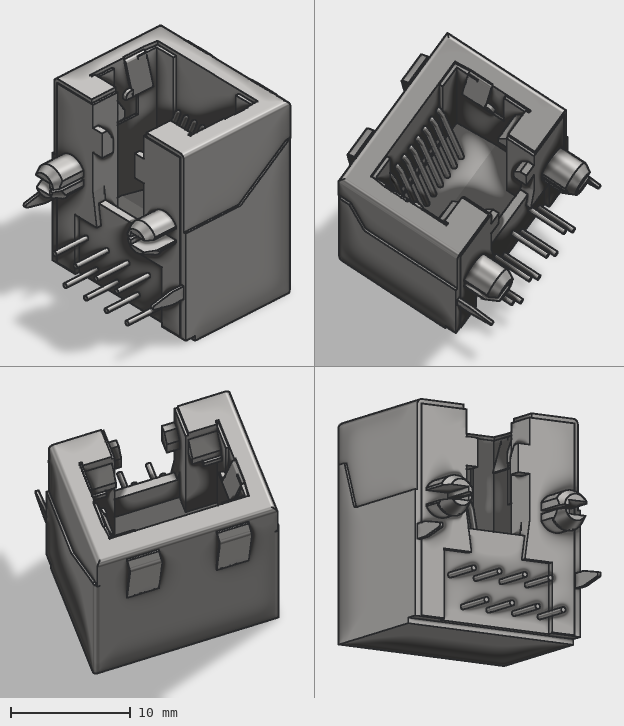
import cadquery as cq
import math


HEIGHT = 19.0
SHELL_HALF = 8.0
SHELL_BACK = 12.08
SHELL_THICK = 0.4
EDGE_RADIUS = 0.48
WRAP_HALF = 8.23
WRAP_TOP = 15.31
WRAP_LOW = 11.25
KNEE_RADIUS = 0.38
RIGHT_SLOPE = (11.6, 6.21)
LEFT_SLOPE = (10.81, 9.31)
FLOOR_PLATE_Z = 0.48
FLOOR_PLATE_FRONT = 1.06

INSERT_HALF = 7.6
INSERT_BOTTOM = 0.55
INSERT_TOP = HEIGHT - SHELL_THICK
INSERT_FRONT = -0.08

CAVITY_HALF = 5.93
CAVITY_FRONT = 2.72
CAVITY_BACK = 9.69
CAVITY_FLOOR = 5.51
FLOOR_BEND_Y = 5.72
FLOOR_BACK_Z = 4.65
MOUTH_HALF = 6.18
MOUTH_BACK = 10.03
MOUTH_NOTCH_FRONT = 2.38
SPRING_NOTCH_HALF = 6.29
COMB_HALF = 3.85

SLOT_HALF = 3.14
SHIELD_SLOT_HALF = 3.38
SLOT_TAPER_Z = 9.85
SLOT_LOW_HALF = 2.66
PANEL_HALF = 5.38
PANEL_RECESS_TOP = 6.5
PANEL_TOP = 8.59
PANEL_FRONT = 0.42
PANEL_BACK = 1.2

TAB_INNER = 2.01
TAB_BOTTOM = 13.81
TAB_TOP = 16.28
TAB_TOP_DEPTH = 0.55
TAB_SLOPE_DROP = 1.05
CATCH_TOP = 17.86
CATCH_KNEE = 16.28
CATCH_BOTTOM = 15.39
CATCH_BACK = 3.75
FOOT_INNER = 4.3
FOOT_BACK = 3.97
FOOT_TOP = 15.39
FOOT_BOTTOM = 14.82

SPRING_FRONT = 6.27
SPRING_BACK = 8.59
SPRING_TIP_X = 5.1
SPRING_THICK = 0.23
SPRING_BOTTOM = 15.58
SPRING_TOP = 18.72
HOOK_FRONT = 5.47
HOOK_TOP = 16.28
HOOK_WIDTH = 0.42
HOOK_RADIUS = 0.57
WINDOW_FRONT = 4.92
WINDOW_BACK = 7.6
WINDOW_BOTTOM = 12.8

CONTACT_COUNT = 8
CONTACT_PITCH = 1.0
CONTACT_RADIUS = 0.25
CONTACT_TIP = (9.92, 13.11)
CONTACT_BEND = (9.5, 12.45)
CONTACT_FOOT = (7.45, 4.56)

PIN_RADIUS = 0.23
PIN_PITCH = 2.55
PIN_END = -3.2
PIN_COUNT = 4
PIN_UPPER_Z = 4.4
PIN_LOWER_Z = 1.85
PIN_FIRST_X = 1.75 * PIN_PITCH

PEG_X = 5.72
PEG_Z = 10.65
PEG_END = -3.27
PEG_HALF_WIDTH = 1.42
PEG_RADIUS = 1.63
PEG_TIP_RADIUS = 1.18
PEG_CONE_START = -2.45
BARB_RADIUS = 1.73
BARB_TIP_RADIUS = 1.08
BARB_START = -1.85
BARB_SHANK_RADIUS = 1.62
PEG_WIDE_GAP = 1.2
PEG_NARROW_GAP = 0.3
PEG_GAP_STEP = 0.72

TAIL_THICK = 0.28
TAIL_OUTER = 8.0
TAIL_HALF = 0.65
TAIL_TAPER_Y = -1.3
TAIL_END = -3.48
TAIL_TIP_RADIUS = 0.2
TAIL_LEFT_Z = 7.68
TAIL_RIGHT_Z = 5.2
BACK_SPRING_X = (-3.97, 3.97)
BACK_SPRING_WIDTH = 2.83
BACK_SPRING_THICK = 0.19
BACK_SPRING_CREST = (12.98, 17.7)
BACK_SPRING_ROOT = (12.25, 18.47)
BACK_SPRING_BEND = (12.75, 18.13)
BACK_SPRING_TOP = 18.49
BACK_SPRING_BOTTOM = 11.97


def block(x0, x1, y0, y1, z0, z1):
    return cq.Workplane("XY").box(x1 - x0, y1 - y0, z1 - z0, centered=False).translate((x0, y0, z0))


def both_sides(solid):
    return solid.union(solid.mirror("YZ"))


def side_prism(points, x0, x1):
    """Extrude a closed (Y, Z) outline from x0 to x1."""
    return cq.Workplane("YZ").workplane(offset=x0).polyline(points).close().extrude(x1 - x0)


def front_prism(points, y0, y1):
    """Extrude a closed (X, Z) outline from y0 to y1."""
    return cq.Workplane("XZ").workplane(offset=-y1).polyline(points).close().extrude(y1 - y0)


def rod_y(x, z, radius, y0, y1):
    return cq.Workplane("XZ", origin=(x, y1, z)).circle(radius).extrude(y1 - y0)


def cone_y(x, z, base_radius, tip_radius, y_base, y_tip):
    """Truncated cone narrowing toward -Y."""
    cone = cq.Solid.makeCone(
        base_radius, tip_radius, y_base - y_tip, cq.Vector(x, y_base, z), cq.Vector(0, -1, 0)
    )
    return cq.Workplane(obj=cone)


def wrap_side(slope_top_y, slope_low_y):
    """Outline of the +X half of the lower wrap, with its sloping upper edge."""
    outline = [
        (0, 0), (SHELL_BACK, 0), (SHELL_BACK, WRAP_TOP), (slope_top_y, WRAP_TOP),
        (slope_low_y, WRAP_LOW), (0, WRAP_LOW),
    ]
    half = side_prism(outline, 0, WRAP_HALF)
    half = half.edges("|X and <Z and >Y").fillet(EDGE_RADIUS)
    knee = cq.selectors.NearestToPointSelector((WRAP_HALF / 2, slope_low_y, WRAP_LOW))
    half = half.edges(knee).fillet(KNEE_RADIUS)
    rounded_corner = block(0, WRAP_HALF, 0, SHELL_BACK, 0, WRAP_TOP)
    rounded_corner = rounded_corner.edges("|Z and >X and >Y").fillet(EDGE_RADIUS)
    return half.intersect(rounded_corner)


def make_body():
    shell = block(-SHELL_HALF, SHELL_HALF, 0, SHELL_BACK, WRAP_TOP, HEIGHT)
    shell = shell.faces(">Z").edges(">Y or >X or <X").fillet(EDGE_RADIUS)
    shell_sides = block(-SHELL_HALF, SHELL_HALF, 0, SHELL_BACK - EDGE_RADIUS, WRAP_LOW, WRAP_TOP)
    right_wrap = wrap_side(*RIGHT_SLOPE)
    left_wrap = wrap_side(*LEFT_SLOPE).mirror("YZ")
    insert = block(-INSERT_HALF, INSERT_HALF, INSERT_FRONT, CAVITY_BACK, INSERT_BOTTOM, INSERT_TOP)
    floor_notch = block(-WRAP_HALF, WRAP_HALF, 0, FLOOR_PLATE_FRONT, 0, FLOOR_PLATE_Z)
    return shell.union(shell_sides).union(right_wrap).union(left_wrap).union(insert).cut(floor_notch)


def cut_cavity(body):
    cavity_side = [
        (CAVITY_FRONT, HEIGHT), (CAVITY_FRONT, CAVITY_FLOOR), (FLOOR_BEND_Y, CAVITY_FLOOR),
        (CAVITY_BACK, FLOOR_BACK_Z), (CAVITY_BACK, HEIGHT),
    ]
    body = body.cut(side_prism(cavity_side, -CAVITY_HALF, CAVITY_HALF))
    body = body.cut(block(-COMB_HALF, COMB_HALF, CAVITY_BACK, MOUTH_BACK, CAVITY_FLOOR, HEIGHT))
    mouth = block(-MOUTH_HALF, MOUTH_HALF, CAVITY_FRONT, MOUTH_BACK, INSERT_TOP, HEIGHT)
    mouth = mouth.union(both_sides(
        block(CAVITY_HALF, MOUTH_HALF, MOUTH_NOTCH_FRONT, CAVITY_FRONT, INSERT_TOP, HEIGHT)
    ))
    spring_notch = [
        (CAVITY_HALF, SPRING_FRONT), (SPRING_NOTCH_HALF, SPRING_FRONT),
        (SPRING_NOTCH_HALF, SPRING_BACK), (MOUTH_HALF, CAVITY_BACK), (CAVITY_HALF, CAVITY_BACK),
    ]
    notch = cq.Workplane("XY").workplane(offset=INSERT_TOP).polyline(spring_notch).close()
    mouth = mouth.union(both_sides(notch.extrude(SHELL_THICK)))
    window = block(CAVITY_HALF, MOUTH_HALF, WINDOW_FRONT, WINDOW_BACK, WINDOW_BOTTOM, HEIGHT)
    return body.cut(mouth).cut(both_sides(window))


def cut_front_slot(body):
    channel = block(-SLOT_HALF, SLOT_HALF, PANEL_BACK, CAVITY_FRONT, CAVITY_FLOOR, HEIGHT)
    right_edge = [(SLOT_HALF, HEIGHT), (SLOT_HALF, SLOT_TAPER_Z), (SLOT_LOW_HALF, PANEL_RECESS_TOP)]
    left_edge = [(-x, z) for x, z in reversed(right_edge)]
    slot = front_prism(right_edge + left_edge, INSERT_FRONT, PANEL_BACK)
    shield_slot = block(
        -SHIELD_SLOT_HALF, SHIELD_SLOT_HALF, INSERT_FRONT, CAVITY_FRONT, INSERT_TOP, HEIGHT
    )
    recess = block(
        -PANEL_HALF, PANEL_HALF, INSERT_FRONT, PANEL_FRONT, FLOOR_PLATE_Z, PANEL_RECESS_TOP
    )
    panel = block(-SLOT_HALF, SLOT_HALF, PANEL_FRONT, PANEL_BACK, CAVITY_FLOOR, PANEL_TOP)
    return body.cut(channel).cut(slot).cut(shield_slot).cut(recess).union(panel)


def make_latch_tabs():
    outline = [
        (INSERT_FRONT, TAB_BOTTOM), (PANEL_BACK, TAB_BOTTOM), (PANEL_BACK, TAB_TOP - TAB_SLOPE_DROP),
        (TAB_TOP_DEPTH, TAB_TOP), (INSERT_FRONT, TAB_TOP),
    ]
    return both_sides(side_prism(outline, TAB_INNER, SLOT_HALF))


def make_catches():
    outline = [
        (CAVITY_FRONT, CATCH_BOTTOM), (CATCH_BACK, CATCH_BOTTOM), (CATCH_BACK, CATCH_KNEE),
        (CAVITY_FRONT, CATCH_TOP),
    ]
    catch = side_prism(outline, SHIELD_SLOT_HALF, CAVITY_HALF)
    foot = block(FOOT_INNER, CAVITY_HALF, CAVITY_FRONT, FOOT_BACK, FOOT_BOTTOM, FOOT_TOP)
    return both_sides(catch.union(foot))


def make_side_springs():
    """Blades folded over the mouth's side edges, each with a hook at its lower front corner."""
    fold_radius = SPRING_NOTCH_HALF - CAVITY_HALF
    plate = (
        cq.Workplane("XZ", origin=(0, SPRING_BACK, 0))
        .moveTo(SPRING_NOTCH_HALF, SPRING_TOP - SPRING_THICK)
        .lineTo(SPRING_NOTCH_HALF, SPRING_TOP)
        .radiusArc((CAVITY_HALF, SPRING_TOP - fold_radius), -fold_radius)
        .lineTo(SPRING_TIP_X, SPRING_BOTTOM)
        .lineTo(SPRING_TIP_X + SPRING_THICK, SPRING_BOTTOM)
        .lineTo(MOUTH_HALF, SPRING_TOP - SPRING_THICK)
        .close()
        .extrude(SPRING_BACK - SPRING_FRONT)
    )
    hook = block(
        SPRING_TIP_X, SPRING_TIP_X + HOOK_WIDTH, HOOK_FRONT, SPRING_FRONT, SPRING_BOTTOM, HOOK_TOP
    )
    hook = hook.edges("|X and >Z and <Y").fillet(HOOK_RADIUS)
    return both_sides(plate.union(hook))


def wire(x, start, end):
    """Round wire between two (Y, Z) points in the plane at x, with a ball at the start."""
    dy = end[0] - start[0]
    dz = end[1] - start[1]
    origin = cq.Vector(x, start[0], start[1])
    rod = cq.Solid.makeCylinder(CONTACT_RADIUS, math.hypot(dy, dz), origin, cq.Vector(0, dy, dz))
    ball = cq.Workplane("XY").sphere(CONTACT_RADIUS).translate(origin.toTuple())
    return ball.union(cq.Workplane(obj=rod))


def add_contacts(body):
    first_x = -CONTACT_PITCH * (CONTACT_COUNT - 1) / 2
    for i in range(CONTACT_COUNT):
        x = first_x + i * CONTACT_PITCH
        body = body.union(wire(x, CONTACT_BEND, CONTACT_FOOT))
        body = body.union(wire(x, CONTACT_TIP, CONTACT_BEND))
    return body


def add_pins(body):
    for i in range(PIN_COUNT):
        x = PIN_FIRST_X - i * PIN_PITCH
        body = body.union(rod_y(x, PIN_LOWER_Z, PIN_RADIUS, PIN_END, PANEL_BACK))
        body = body.union(rod_y(-x, PIN_UPPER_Z, PIN_RADIUS, PIN_END, PANEL_BACK))
    return body


def make_pegs():
    """Split pegs: plain upper half, barbed lower half, gap open toward the outside."""
    upper = rod_y(PEG_X, PEG_Z, PEG_RADIUS, PEG_CONE_START, 0)
    upper = upper.union(cone_y(PEG_X, PEG_Z, PEG_RADIUS, PEG_TIP_RADIUS, PEG_CONE_START, PEG_END))
    lower = rod_y(PEG_X, PEG_Z, BARB_SHANK_RADIUS, BARB_START, 0)
    lower = lower.union(cone_y(PEG_X, PEG_Z, BARB_RADIUS, BARB_TIP_RADIUS, BARB_START, PEG_END))
    inner_x = PEG_X - PEG_HALF_WIDTH
    outer_x = PEG_X + PEG_HALF_WIDTH
    reach = 2 * PEG_RADIUS
    peg = upper.intersect(block(inner_x, outer_x, PEG_END, 0, PEG_Z, PEG_Z + reach))
    peg = peg.union(lower.intersect(block(inner_x, outer_x, PEG_END, 0, PEG_Z - reach, PEG_Z)))
    for gap, x0 in ((PEG_NARROW_GAP, inner_x), (PEG_WIDE_GAP, PEG_X - PEG_GAP_STEP)):
        peg = peg.cut(block(x0, outer_x, PEG_END, INSERT_FRONT, PEG_Z - gap / 2, PEG_Z + gap / 2))
    return both_sides(peg)


def make_tail(x0, z):
    """Flat pointed ground tail with a rounded tip, its lower X face at x0."""
    shoulder_y = TAIL_END + TAIL_TIP_RADIUS
    return (
        cq.Workplane("YZ", origin=(x0, 0, z))
        .moveTo(PANEL_FRONT, TAIL_HALF)
        .lineTo(TAIL_TAPER_Y, TAIL_HALF)
        .lineTo(shoulder_y, TAIL_TIP_RADIUS)
        .threePointArc((TAIL_END, 0), (shoulder_y, -TAIL_TIP_RADIUS))
        .lineTo(TAIL_TAPER_Y, -TAIL_HALF)
        .lineTo(PANEL_FRONT, -TAIL_HALF)
        .close()
        .extrude(TAIL_THICK)
    )


def add_back_springs(body):
    """Bent strips that leave the shell near the top and return to it lower down."""
    crest_y, crest_z = BACK_SPRING_CREST
    bend_y, bend_z = BACK_SPRING_BEND
    inner_y = crest_y - BACK_SPRING_THICK
    inner_top = BACK_SPRING_TOP - BACK_SPRING_THICK
    half_foot = BACK_SPRING_THICK / 2
    for x in BACK_SPRING_X:
        strip = (
            cq.Workplane("YZ", origin=(x - BACK_SPRING_WIDTH / 2, 0, 0))
            .moveTo(SHELL_BACK - BACK_SPRING_THICK, inner_top)
            .lineTo(SHELL_BACK - BACK_SPRING_THICK, BACK_SPRING_TOP)
            .lineTo(SHELL_BACK, BACK_SPRING_TOP)
            .lineTo(*BACK_SPRING_ROOT)
            .lineTo(bend_y, bend_z)
            .tangentArcPoint((crest_y, crest_z), relative=False)
            .lineTo(SHELL_BACK + half_foot, BACK_SPRING_BOTTOM)
            .lineTo(SHELL_BACK - half_foot, BACK_SPRING_BOTTOM)
            .lineTo(inner_y, crest_z)
            .lineTo(bend_y - BACK_SPRING_THICK / 2, bend_z - BACK_SPRING_THICK)
            .lineTo(SHELL_BACK, inner_top)
            .close()
            .extrude(BACK_SPRING_WIDTH)
        )
        body = body.union(strip)
    return body


body = cut_front_slot(cut_cavity(make_body()))
body = body.union(make_latch_tabs()).union(make_catches()).union(make_side_springs())
body = add_contacts(body)
body = add_pins(body)
body = body.union(make_pegs())
body = body.union(make_tail(-TAIL_OUTER, TAIL_LEFT_Z))
body = body.union(make_tail(TAIL_OUTER - TAIL_THICK, TAIL_RIGHT_Z))
body = add_back_springs(body)
result = body